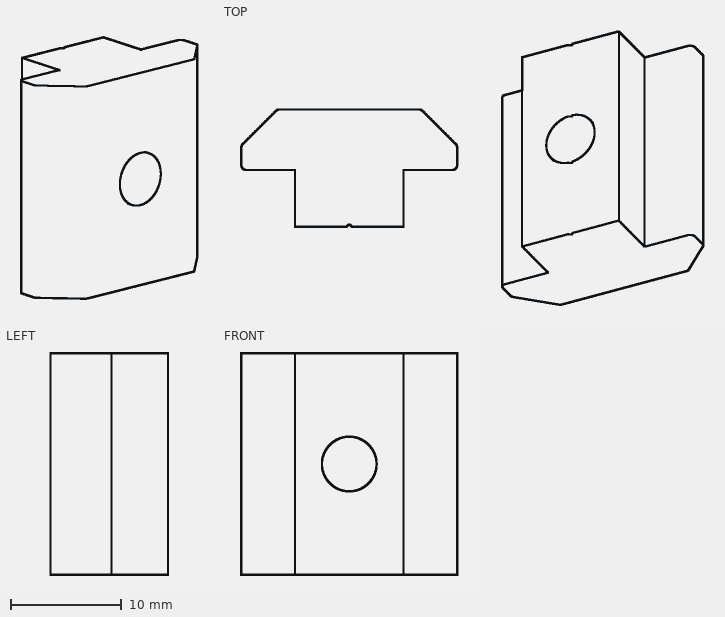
import cadquery as cq

length = 20.0
flange_width = 19.5
depth = 10.6
flange_thickness = 5.5
stem_width = 9.8
bevel = 3.28
edge_radius = 0.5
hole_diameter = 4.92
groove_width = 0.45
groove_depth = groove_width / 2
groove_radius = 0.1

half_flange = flange_width / 2
half_stem = stem_width / 2
half_groove = groove_width / 2
back_y = depth / 2
front_y = -depth / 2
shoulder_y = back_y - flange_thickness


def make_flange():
    """Flange bar with 45 degree bevels at the back and rounded long edges."""
    outline = [
        (-half_flange, shoulder_y),
        (half_flange, shoulder_y),
        (half_flange, back_y - bevel),
        (half_flange - bevel, back_y),
        (-half_flange + bevel, back_y),
        (-half_flange, back_y - bevel),
    ]
    bar = cq.Workplane("XY").polyline(outline).close().extrude(length / 2, both=True)
    return bar.edges("|Z").fillet(edge_radius)


def make_stem():
    """Stem with a V-shaped groove with softened edges along the middle of its front face."""
    outline = [
        (-half_stem, shoulder_y),
        (-half_stem, front_y),
        (-half_groove, front_y),
        (0, front_y + groove_depth),
        (half_groove, front_y),
        (half_stem, front_y),
        (half_stem, shoulder_y),
    ]
    stem = cq.Workplane("XY").polyline(outline).close().extrude(length / 2, both=True)
    groove_zone = cq.selectors.BoxSelector(
        (-groove_width, front_y - groove_width, -length),
        (groove_width, front_y + groove_width, length),
    )
    return stem.edges("|Z").edges(groove_zone).fillet(groove_radius)


def make_hole():
    """Round hole through the full depth, centred on the front face."""
    return cq.Workplane("XZ").circle(hole_diameter / 2).extrude(depth, both=True)


result = make_flange().union(make_stem()).cut(make_hole())